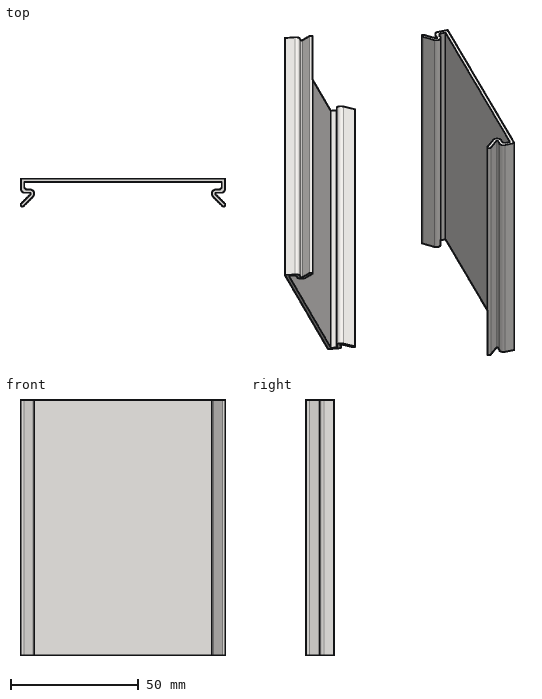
import cadquery as cq
import math

cover_width = 80.0
cover_length = 100.0
overall_depth = 11.0
overall_width = 80.16
thickness = 1.4
shelf_depth = 5.65
wall_bend_outer = 1.6
wall_bend_inner = 1.0
leg_bend_outer = 1.7

plate_face = 0.0
plate_inside = plate_face - thickness
wall_outside = cover_width / 2
wall_inside = wall_outside - thickness
shelf_far = plate_face - shelf_depth
shelf_near = shelf_far + thickness

wall_outer_center = (wall_outside - wall_bend_outer, shelf_far + wall_bend_outer)
wall_inner_center = (wall_inside - wall_bend_inner, shelf_near + wall_bend_inner)

tip_radius = thickness / 2
tip_center = (overall_width / 2 - tip_radius, plate_face - overall_depth + tip_radius)

leg_bend_inner = leg_bend_outer - thickness
leg_bend_middle = leg_bend_outer - tip_radius
leg_bend_y = shelf_near - leg_bend_outer
leg_bend_x = tip_center[0] + tip_center[1] - leg_bend_y + leg_bend_middle * math.sqrt(2)
leg_center = (leg_bend_x, leg_bend_y)

leg_outward = -45
leg_outer_side = leg_outward + 90
leg_inner_side = leg_outward + 270
shelf_normal = 90
leg_bend_mid = (shelf_normal + leg_inner_side) / 2
wall_bend_mid = -45


def on_circle(center, radius, degrees):
    """Point on a circle in the given direction from its centre."""
    angle = math.radians(degrees)
    return (center[0] + radius * math.cos(angle), center[1] + radius * math.sin(angle))


def make_half():
    """Half of the cover on the +X side of the centre plane."""
    profile = (
        cq.Workplane("XY")
        .moveTo(0, plate_face)
        .lineTo(wall_outside, plate_face)
        .lineTo(wall_outside, wall_outer_center[1])
        .threePointArc(
            on_circle(wall_outer_center, wall_bend_outer, wall_bend_mid),
            (wall_outer_center[0], shelf_far),
        )
        .lineTo(leg_bend_x, shelf_far)
        .threePointArc(
            on_circle(leg_center, leg_bend_inner, leg_bend_mid),
            on_circle(leg_center, leg_bend_inner, leg_inner_side),
        )
        .lineTo(*on_circle(tip_center, tip_radius, leg_outer_side))
        .threePointArc(
            on_circle(tip_center, tip_radius, leg_outward),
            on_circle(tip_center, tip_radius, leg_inner_side),
        )
        .lineTo(*on_circle(leg_center, leg_bend_outer, leg_inner_side))
        .threePointArc(
            on_circle(leg_center, leg_bend_outer, leg_bend_mid),
            (leg_bend_x, shelf_near),
        )
        .lineTo(wall_inner_center[0], shelf_near)
        .threePointArc(
            on_circle(wall_inner_center, wall_bend_inner, wall_bend_mid),
            (wall_inside, wall_inner_center[1]),
        )
        .lineTo(wall_inside, plate_inside)
        .lineTo(0, plate_inside)
        .close()
    )
    return profile.extrude(cover_length)


half = make_half()
result = half.union(half.mirror("YZ")).clean()